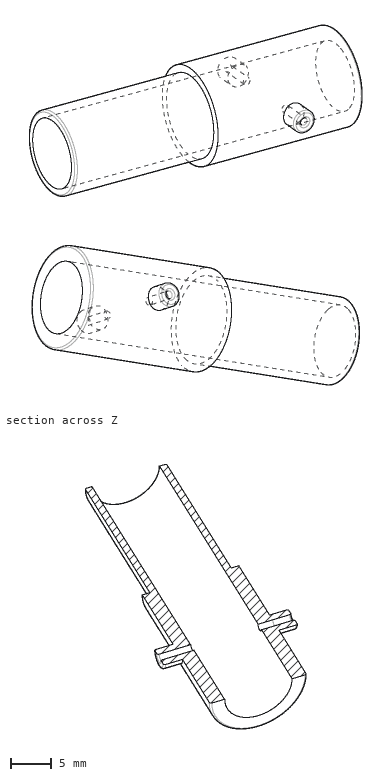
import cadquery as cq

edge_radius = 0.25

total_length = 41.0
socket_length = 21.0
socket_diameter = 13.0
spigot_diameter = 11.0
bore_diameter = 9.0

pin_span = 18.0
pin_diameter = 3.0
pin_hole_diameter = 1.0
pin_from_socket_end = 10.0

front_y = -total_length / 2
back_y = total_length / 2
shoulder_y = back_y - socket_length
pin_y = back_y - pin_from_socket_end


def cylinder_along_y(diameter, start_y, length):
    plane = cq.Plane(origin=(0, start_y, 0), xDir=(1, 0, 0), normal=(0, 1, 0))
    return cq.Workplane(plane).circle(diameter / 2).extrude(length)


def cylinder_along_x(diameter, length):
    """Cylinder centred on the tube axis at the pin position."""
    plane = cq.Plane(origin=(0, pin_y, 0), xDir=(0, 1, 0), normal=(1, 0, 0))
    return cq.Workplane(plane).circle(diameter / 2).extrude(length / 2, both=True)


socket = cylinder_along_y(socket_diameter, shoulder_y, socket_length).faces(">Y").fillet(edge_radius)
spigot = cylinder_along_y(spigot_diameter, front_y, total_length - socket_length)
spigot = spigot.faces("<Y").fillet(edge_radius)
pins = cylinder_along_x(pin_diameter, pin_span).cut(cylinder_along_x(pin_hole_diameter, pin_span))
pins = pins.faces("<X or >X").edges().fillet(edge_radius)

bore = cylinder_along_y(bore_diameter, front_y, total_length)
pin_hole = cylinder_along_x(pin_hole_diameter, socket_diameter)

result = socket.cut(pin_hole).union(spigot).union(pins).cut(bore)